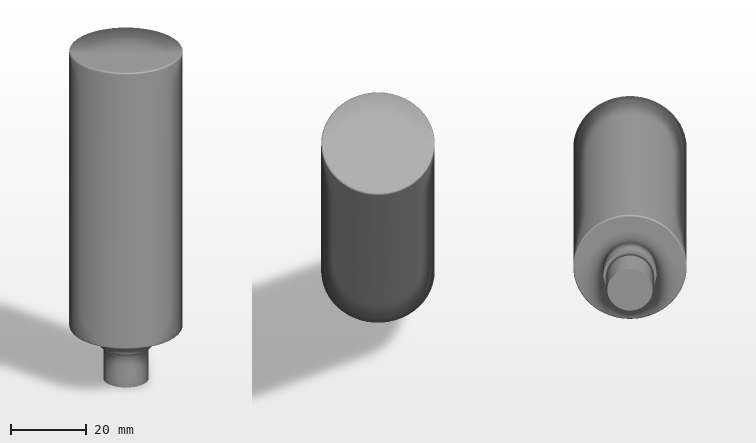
import cadquery as cq

total_length = 95.0
body_diameter = 30.0
body_length = 80.0
body_edge_radius = 0.5
collar_diameter = 14.0
collar_length = 5.0
neck_diameter = 11.0
neck_length = 0.95
stem_diameter = 12.0

stem_length = total_length - body_length - collar_length - neck_length


def cylinder(diameter, bottom, length):
    """Upright cylinder on the part axis."""
    return cq.Workplane("XY").workplane(offset=bottom).circle(diameter / 2).extrude(length)


stem_bottom = -total_length / 2
neck_bottom = stem_bottom + stem_length
collar_bottom = neck_bottom + neck_length
body_bottom = collar_bottom + collar_length

stem = cylinder(stem_diameter, stem_bottom, stem_length)
neck = cylinder(neck_diameter, neck_bottom, neck_length)
collar = cylinder(collar_diameter, collar_bottom, collar_length)

body = cylinder(body_diameter, body_bottom, body_length)
body = body.faces("<Z or >Z").edges().fillet(body_edge_radius)

result = body.union(collar).union(neck).union(stem)